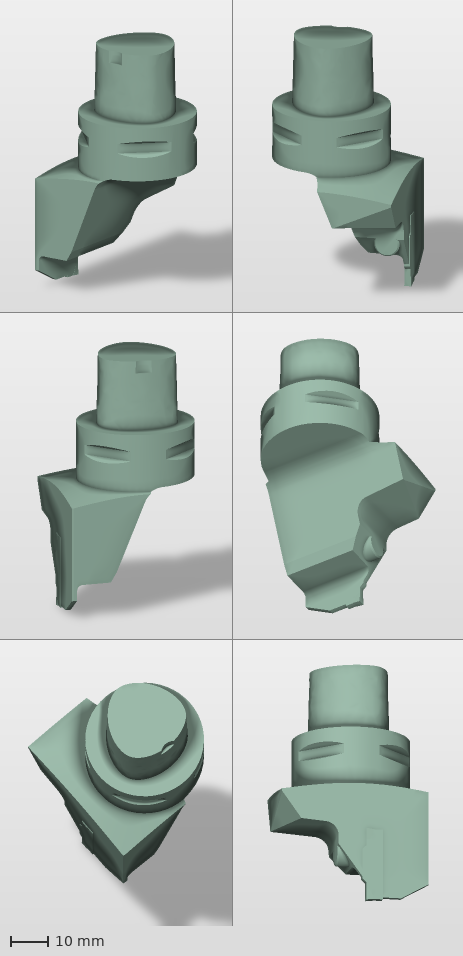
import cadquery as cq
import math


SHANK_HEIGHT = 19.0
SHANK_BASE_RADIUS = 11.05
SHANK_TAPER = 1 / 20
SHANK_LOBE = 0.7
LOBE_COUNT = 3
SPLINE_POINTS = 36

NOTCH_DIAMETER = 7.0
NOTCH_HEIGHT = 3.4
NOTCH_FLOOR_Y = -9.0

FLANGE_RADIUS = 32.0 / 2
FLANGE_HEIGHT = 15.9
CONE_ANGLE = 15.0
CONE_RADIUS = 34.5

GROOVE_COUNT = 4
GROOVE_FLOOR_RADIUS = 14.2
GROOVE_CENTER_Z = -6.0
GROOVE_FLOOR_WIDTH = 2.6
GROOVE_MOUTH_WIDTH = 4.6

SIDE_X = -21.7
FRONT_Y = -17.25
BACK_Y = 23.1
HOLDER_BOTTOM = -49.1
RELIEF_TOP = -14.9
RELIEF_RADIUS = 5.5
BLADE_THICKNESS = 1.45
BLADE_TOP = -40.4
BLADE_FILLET = 1.5
ARM_BOTTOM = -27.75
STEP_Y = 7.6
STEP_FILLET = 3.8
FRONT_CORNER_WIDTH = 0.6
FRONT_CORNER_DEPTH = 0.15

ARM_BEVEL_CORNER_Z = -28.4
ARM_BEVEL_X = 17.6
ARM_BEVEL_Y = 5.5
ARM_BEVEL_Z = 7.65

SCREW_DIAMETER = 7.0
SCREW_X = -16.9
SCREW_BOTTOM = -39.7
SCREW_ROOT_Y = -1.4
SCREW_CHAMFER = 0.4

INSERT_TOP = -29.95
INSERT_BOTTOM = SHANK_HEIGHT - 69
INSERT_BACK_Y = -4.5
INSERT_SIDE_X = -21.9
INSERT_THICKNESS = 1.65
INSERT_END_SLOPE = 0.3
SHOULDER_Y = 1.1
SHOULDER_HALF = 4.15
SHOULDER_CHAMFER = 1.05
LAND_RISE = 0.15
LAND_LENGTH = 3.1
LAND_TIP_WIDTH = 2.15
LAND_ROOT_WIDTH = 1.0


def lobed_wire(radius, height):
    """Closed three-lobed curve of constant width, with one lobe toward +Y."""
    points = []
    for index in range(SPLINE_POINTS):
        angle = 2 * math.pi * index / SPLINE_POINTS
        phase = LOBE_COUNT * (angle - math.pi / 2)
        support = radius + SHANK_LOBE * math.cos(phase)
        slope = -LOBE_COUNT * SHANK_LOBE * math.sin(phase)
        x = support * math.cos(angle) - slope * math.sin(angle)
        y = support * math.sin(angle) + slope * math.cos(angle)
        points.append(cq.Vector(x, y, height))
    return cq.Wire.assembleEdges([cq.Edge.makeSpline(points, periodic=True)])


def make_shank():
    top_radius = SHANK_BASE_RADIUS - SHANK_HEIGHT * SHANK_TAPER / 2
    wires = [lobed_wire(SHANK_BASE_RADIUS, 0), lobed_wire(top_radius, SHANK_HEIGHT)]
    shank = cq.Workplane(cq.Solid.makeLoft(wires, True))
    notch_radius = NOTCH_DIAMETER / 2
    notch = (
        cq.Workplane("XY")
        .workplane(offset=SHANK_HEIGHT - NOTCH_HEIGHT)
        .center(0, NOTCH_FLOOR_Y - notch_radius)
        .circle(notch_radius)
        .extrude(NOTCH_HEIGHT)
    )
    return shank.cut(notch)


def make_turned_blank():
    """Flange above a cone, continued straight down to the holder's bottom."""
    cone_drop = (CONE_RADIUS - FLANGE_RADIUS) * math.tan(math.radians(CONE_ANGLE))
    outline = [
        (0, 0),
        (FLANGE_RADIUS, 0),
        (FLANGE_RADIUS, -FLANGE_HEIGHT),
        (CONE_RADIUS, -FLANGE_HEIGHT - cone_drop),
        (CONE_RADIUS, HOLDER_BOTTOM),
        (0, HOLDER_BOTTOM),
    ]
    return cq.Workplane("XZ").polyline(outline).close().revolve(360, (0, 0, 0), (0, 1, 0))


def make_width_profile():
    """Holder outline in XZ, extruded over its whole length in Y."""
    blade_x = SIDE_X + BLADE_THICKNESS
    relief_corner = (0, RELIEF_TOP)
    blade_corner = (blade_x, BLADE_TOP)
    outline = [
        (SIDE_X, 0),
        (FLANGE_RADIUS, 0),
        (FLANGE_RADIUS, RELIEF_TOP),
        relief_corner,
        (-9.25, -37.4),
        (-10.9, -40.15),
        blade_corner,
        (blade_x, HOLDER_BOTTOM),
        (SIDE_X, HOLDER_BOTTOM),
    ]
    profile = (
        cq.Workplane("XZ", origin=(0, BACK_Y, 0))
        .polyline(outline)
        .close()
        .extrude(BACK_Y - FRONT_Y)
    )
    middle_y = (BACK_Y + FRONT_Y) / 2
    for (x, z), radius in ((relief_corner, RELIEF_RADIUS), (blade_corner, BLADE_FILLET)):
        edge = cq.selectors.NearestToPointSelector((x, middle_y, z))
        profile = profile.edges("|Y").edges(edge).fillet(radius)
    return profile


def make_length_profile():
    """Holder outline in YZ, extruded over its whole width in X."""
    step_corner = (STEP_Y, -28.85)
    outline = [
        (FRONT_Y, 0),
        (BACK_Y, 0),
        (BACK_Y, ARM_BOTTOM),
        step_corner,
        (STEP_Y, -34.7),
        (-3.1, HOLDER_BOTTOM),
        (-9.6, HOLDER_BOTTOM),
        (FRONT_Y, -44.7),
    ]
    width = FLANGE_RADIUS - SIDE_X
    profile = cq.Workplane("YZ", origin=(SIDE_X, 0, 0)).polyline(outline).close().extrude(width)
    edge = cq.selectors.NearestToPointSelector((SIDE_X + width / 2, *step_corner))
    return profile.edges("|X").edges(edge).fillet(STEP_FILLET)


def make_gripper_grooves():
    floor_half = GROOVE_FLOOR_WIDTH / 2
    mouth_half = GROOVE_MOUTH_WIDTH / 2
    groove = (
        cq.Workplane("XZ")
        .moveTo(GROOVE_FLOOR_RADIUS, GROOVE_CENTER_Z - floor_half)
        .lineTo(FLANGE_RADIUS, GROOVE_CENTER_Z - mouth_half)
        .lineTo(FLANGE_RADIUS, GROOVE_CENTER_Z + mouth_half)
        .lineTo(GROOVE_FLOOR_RADIUS, GROOVE_CENTER_Z + floor_half)
        .close()
        .extrude(FLANGE_RADIUS, both=True)
    )
    pitch = 360 / GROOVE_COUNT
    return [
        groove.rotate((0, 0, 0), (0, 0, 1), pitch * (index + 0.5)) for index in range(GROOVE_COUNT)
    ]


def make_arm_corner():
    """Pyramid removed from the arm's lower back corner at the flat side."""
    corner = cq.Vector(SIDE_X, BACK_Y, ARM_BEVEL_CORNER_Z)
    along_x = corner + cq.Vector(ARM_BEVEL_X, 0, 0)
    along_y = corner - cq.Vector(0, ARM_BEVEL_Y, 0)
    along_z = corner + cq.Vector(0, 0, ARM_BEVEL_Z)
    triangles = [
        [corner, along_x, along_y],
        [corner, along_y, along_z],
        [corner, along_z, along_x],
        [along_x, along_y, along_z],
    ]
    faces = [cq.Face.makeFromWires(cq.Wire.makePolygon(points, close=True)) for points in triangles]
    return cq.Workplane(cq.Solid.makeSolid(cq.Shell.makeShell(faces)))


def make_front_corner():
    """Thin wedge removed along the upright front corner of the flat side."""
    outline = [
        (SIDE_X, FRONT_Y),
        (SIDE_X + FRONT_CORNER_WIDTH, FRONT_Y),
        (SIDE_X, FRONT_Y + FRONT_CORNER_DEPTH),
    ]
    return cq.Workplane("XY").polyline(outline).close().extrude(HOLDER_BOTTOM)


def make_screw_head():
    center_z = SCREW_BOTTOM + SCREW_DIAMETER / 2
    return (
        cq.Workplane("XZ", origin=(SCREW_X, STEP_Y, center_z))
        .circle(SCREW_DIAMETER / 2)
        .extrude(STEP_Y - SCREW_ROOT_Y)
        .faces(">Y")
        .chamfer(SCREW_CHAMFER)
    )


def make_land(side_x, rise, end_z, inward):
    """Wedge on an insert face: highest at the cutting end, fading out at its root."""
    root_z = end_z + inward * LAND_LENGTH
    wedge = (
        cq.Workplane("XZ")
        .polyline([(side_x, end_z), (side_x + rise, end_z), (side_x, root_z)])
        .close()
        .extrude(LAND_TIP_WIDTH)
    )
    outline = [
        (0, end_z),
        (-LAND_TIP_WIDTH, end_z + inward * INSERT_END_SLOPE),
        (-LAND_ROOT_WIDTH, root_z),
        (0, root_z),
    ]
    plan = (
        cq.Workplane("YZ", origin=(side_x, 0, 0))
        .polyline(outline)
        .close()
        .extrude(abs(rise), both=True)
    )
    return wedge.intersect(plan)


def make_insert():
    middle_z = (INSERT_TOP + INSERT_BOTTOM) / 2
    chamfer_end = SHOULDER_HALF + SHOULDER_CHAMFER
    outline = [
        (INSERT_BACK_Y, INSERT_BOTTOM + INSERT_END_SLOPE),
        (-LAND_TIP_WIDTH, INSERT_BOTTOM + INSERT_END_SLOPE),
        (0, INSERT_BOTTOM),
        (0, middle_z - chamfer_end),
        (SHOULDER_Y, middle_z - SHOULDER_HALF),
        (SHOULDER_Y, middle_z + SHOULDER_HALF),
        (0, middle_z + chamfer_end),
        (0, INSERT_TOP),
        (-LAND_TIP_WIDTH, INSERT_TOP - INSERT_END_SLOPE),
        (INSERT_BACK_Y, INSERT_TOP - INSERT_END_SLOPE),
    ]
    insert = (
        cq.Workplane("YZ", origin=(INSERT_SIDE_X, 0, 0))
        .polyline(outline)
        .close()
        .extrude(INSERT_THICKNESS)
    )
    far_x = INSERT_SIDE_X + INSERT_THICKNESS
    insert = insert.union(make_land(INSERT_SIDE_X, -LAND_RISE, INSERT_TOP, -1))
    insert = insert.union(make_land(INSERT_SIDE_X, -LAND_RISE, INSERT_BOTTOM, 1))
    return insert.union(make_land(far_x, LAND_RISE, INSERT_BOTTOM, 1))


def make_holder(insert):
    holder = make_turned_blank().intersect(make_width_profile()).intersect(make_length_profile())
    for groove in make_gripper_grooves():
        holder = holder.cut(groove)
    holder = holder.cut(make_arm_corner()).cut(make_front_corner())
    holder = holder.union(make_screw_head()).union(make_shank())
    return holder.cut(insert)


insert = make_insert()
holder = make_holder(insert)

result = cq.Compound.makeCompound([holder.solids().val(), insert.solids().val()])